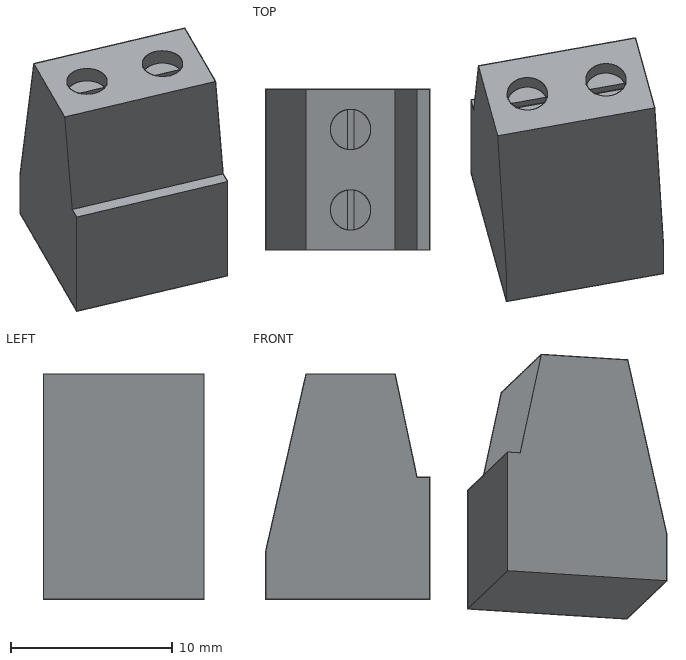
import cadquery as cq

LENGTH_X = 10.2
WIDTH_Y = 10.0
HEIGHT = 14.0
FRONT_WALL_HEIGHT = 3.0
TOP_START_X = 2.5
TOP_END_X = 8.05
STEP_HEIGHT = 7.6
STEP_DEPTH = 0.8

SCREW_COUNT = 2
SCREW_PITCH = WIDTH_Y / SCREW_COUNT
SCREW_DIAMETER = 2.5
SCREW_X = (TOP_START_X + TOP_END_X) / 2
SCREW_RECESS = 1.0
SCREW_HEIGHT = 2.0
SLOT_WIDTH = 0.4
SLOT_DEPTH = 0.5

SCREW_TOP_Z = HEIGHT - SCREW_RECESS
SCREW_BASE_Z = SCREW_TOP_Z - SCREW_HEIGHT
SCREW_CENTRES_Y = [
    (index - (SCREW_COUNT - 1) / 2) * SCREW_PITCH for index in range(SCREW_COUNT)
]


def make_cylinder(centre_y, height):
    """Upright cylinder of screw diameter, standing on the floor of a screw hole."""
    return (
        cq.Workplane("XY", origin=(SCREW_X, centre_y, SCREW_BASE_Z))
        .circle(SCREW_DIAMETER / 2)
        .extrude(height)
    )


def make_housing():
    """Tapered block with one blind hole per screw."""
    profile = [
        (0, 0),
        (LENGTH_X, 0),
        (LENGTH_X, STEP_HEIGHT),
        (LENGTH_X - STEP_DEPTH, STEP_HEIGHT),
        (TOP_END_X, HEIGHT),
        (TOP_START_X, HEIGHT),
        (0, FRONT_WALL_HEIGHT),
    ]
    block = cq.Workplane("XZ").polyline(profile).close().extrude(WIDTH_Y / 2, both=True)
    for centre_y in SCREW_CENTRES_Y:
        block = block.cut(make_cylinder(centre_y, HEIGHT - SCREW_BASE_Z))
    return block


def make_screw(centre_y):
    """Plain screw with a straight driver slot along Y across its head."""
    slot = cq.Workplane("XY", origin=(SCREW_X, centre_y, SCREW_TOP_Z)).box(
        SLOT_WIDTH, SCREW_DIAMETER, SLOT_DEPTH, centered=(True, True, False)
    ).translate((0, 0, -SLOT_DEPTH))
    return make_cylinder(centre_y, SCREW_HEIGHT).cut(slot)


housing = make_housing()
screws = [make_screw(centre_y) for centre_y in SCREW_CENTRES_Y]

result = cq.Compound.makeCompound([housing.val(), *[screw.val() for screw in screws]])